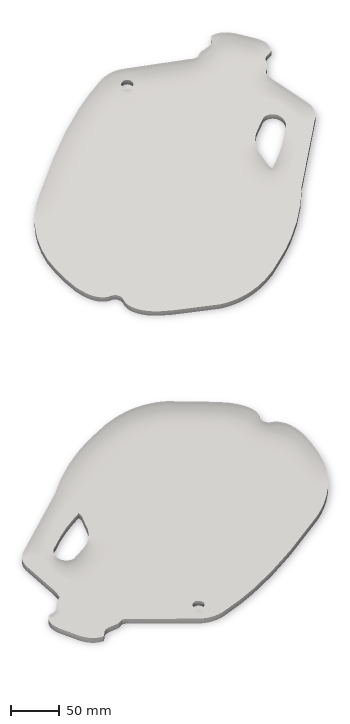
import cadquery as cq

width = 270.0
height = 406.5
thickness = 6.5

hanging_hole_diameter = 12.5
hanging_hole_center = (38.5, 300.5)

cap_left = (98.0, 394.0)
cap_right = (164.0, 394.0)
collar_left = (95.0, 367.7)
collar_right = (168.2, 367.7)
neck_base_left = (95.0, 361.5)
neck_base_right = (169.0, 362.5)
shoulder_left = (30.0, 322.0)
shoulder_right = (224.3, 336.5)
side_top_left = (10.0, 294.5)
side_top_right = (238.5, 317.0)
side_bottom_left = (4.0, 118.0)
waist_right = (256.8, 221.5)
side_bottom_right = (269.0, 113.8)
corner_end_left = (41.5, 37.5)
corner_end_right = (231.5, 34.0)
foot_start_left = (82.0, 9.0)
foot_start_right = (188.0, 10.0)
notch_left = (120.3, 8.0)
notch_top = (127.0, 11.8)
notch_right = (135.0, 8.0)
foot_low_left = (105.5, 3.0)
foot_low_right = (152.8, 0.0)


def jug_outline():
    """Closed outline, followed clockwise from the left side of the cap."""
    return (
        cq.Workplane("XY")
        .moveTo(*cap_left)
        .spline([(107.3, 402.5), (132.0, height), (157.0, 402.5), cap_right], includeCurrent=True)
        .spline([(163.0, 389.3), (161.7, 384.5), (165.0, 376.3), collar_right], includeCurrent=True)
        .lineTo(*neck_base_right)
        .spline([(175.5, 358.0), (186.0, 353.0)], includeCurrent=True)
        .lineTo(*shoulder_right)
        .threePointArc((233.5, 328.7), side_top_right)
        .lineTo(*waist_right)
        .spline([(266.0, 185.5), (width, 150.5), side_bottom_right], includeCurrent=True)
        .spline([(265.7, 88.5), (255.5, 61.5), corner_end_right], includeCurrent=True)
        .lineTo(*foot_start_right)
        .spline([(171.5, 3.0), foot_low_right, (143.0, 2.0), notch_right], includeCurrent=True)
        .threePointArc(notch_top, notch_left)
        .spline([(114.5, 4.5), foot_low_left, (94.3, 4.5), foot_start_left], includeCurrent=True)
        .threePointArc((61.5, 21.5), corner_end_left)
        .spline([(19.5, 66.5), (9.5, 90.5), side_bottom_left], includeCurrent=True)
        .spline([(0.0, 195.0), (3.0, 254.0), side_top_left], includeCurrent=True)
        .threePointArc((17.5, 311.2), shoulder_left)
        .lineTo(87.5, 355.5)
        .threePointArc((92.2, 358.5), neck_base_left)
        .lineTo(*collar_left)
        .spline([(98.7, 375.5), (101.5, 385.0), (99.5, 390.0), cap_left], includeCurrent=True)
        .close()
    )


def handle_opening():
    """Teardrop finger opening, followed clockwise from its straight inner edge."""
    inner_x = 187.5
    outer_x = 220.0
    tip_y = 235.5
    return (
        cq.Workplane("XY")
        .moveTo(inner_x, 282.5)
        .lineTo(inner_x, 300.5)
        .spline([(190.5, 306.5), (200.0, 309.5), (210.0, 304.0), (214.0, 293.5)], includeCurrent=True)
        .threePointArc((218.5, 268.0), (outer_x, 246.0))
        .lineTo(outer_x, tip_y)
        .lineTo(215.5, tip_y + 2.0)
        .lineTo(200.7, 251.5)
        .threePointArc((190.5, 266.0), (inner_x, 282.5))
        .close()
    )


board = jug_outline().extrude(thickness)
hanging_hole = (
    cq.Workplane("XY")
    .center(*hanging_hole_center)
    .circle(hanging_hole_diameter / 2)
    .extrude(thickness)
)

result = board.cut(hanging_hole).cut(handle_opening().extrude(thickness))